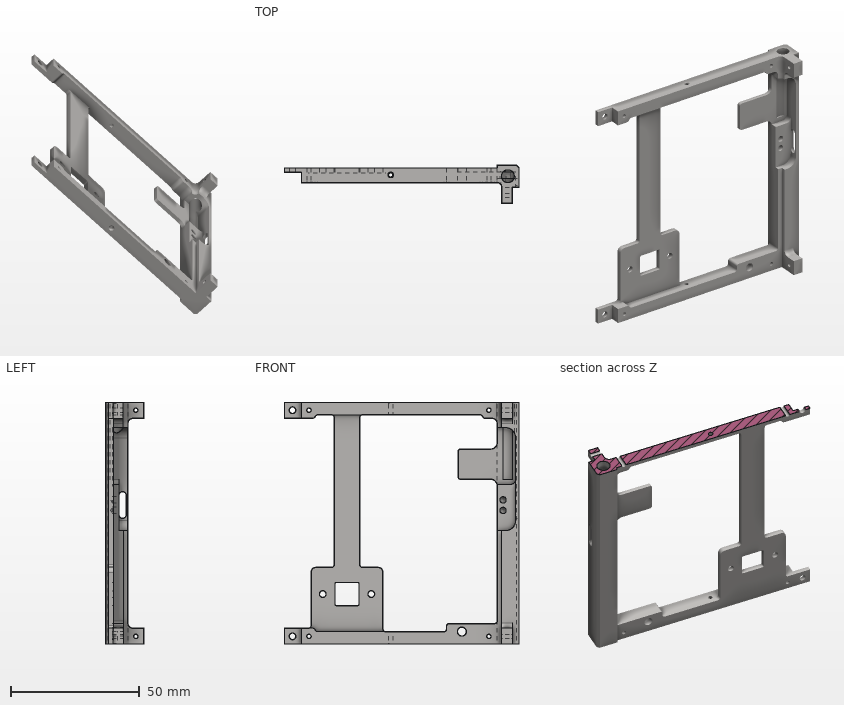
import cadquery as cq
import math


WIDTH = 91.4
HEIGHT = 94.0

RAIL_DEPTH = 5.85
TOP_RAIL_DEPTH = 5.7
RAIL_HEIGHT = 4.85
PAD_HEIGHT = 6.2
TAB_LENGTH = 6.6
TAB_THICKNESS = 1.75
RAMP_LENGTH = 2.0
LEFT_RAMP_X = 11.0
RIGHT_RAMP_X = 76.2
STEP_X = 63.1
STEP_HEIGHT = 8.0
STEP_RADIUS = 1.0
CORNER_RADIUS = 2.0

COLUMN_X = 82.8
COLUMN_BACK = 1.05
COLUMN_FRONT = -7.65
COLUMN_CHAMFER = 1.0
LEDGE_X = 84.6
LUG_WIDTH = 4.1
LUG_FRONT = -13.85
LUG_FILLET = 2.0

POCKET_TOP = 84.25
POCKET_STEP = 62.1
POCKET_BOTTOM = 44.1
POCKET_RIGHT = 90.0
DEEP_FLOOR = -1.55
SHALLOW_FLOOR = -4.2
POCKET_RADIUS = 4.0
POCKET_STEP_RADIUS = 2.0
PADDLE_X = 67.6
PADDLE_BOTTOM = 64.1
PADDLE_TOP = 75.9
PADDLE_CORNER_RADIUS = 1.0
PADDLE_ROOT_RADIUS = 2.5
SLOT_LENGTH = 10.3
SLOT_WIDTH = 2.75
SLOT_CENTER_Z = 54.1

PLATE_THICKNESS = 2.1
PLATE_CENTER_X = 24.4
PLATE_WIDTH = 28.0
PLATE_TOP = 29.9
PLATE_CORNER_RADIUS = 2.0
STRIP_WIDTH = 10.0
STRIP_FILLET = 1.0
PLATE_FOOT_FILLET = 1.0
WINDOW_WIDTH = 9.3
WINDOW_HEIGHT = 8.9
WINDOW_CENTER_Z = 19.45
WINDOW_RADIUS = 0.5

END_HOLE_INSET = 3.0
TAB_HOLE_X = 3.2
TAB_HOLE_DIAMETER = 2.5
SCREW_HOLE_X = (9.6, 79.6)
SCREW_HOLE_DIAMETER = 1.6
LUG_HOLE_Y = -10.7
PLATE_HOLE_SPACING = 18.9
PLATE_HOLE_DIAMETER = 2.5
RAIL_HOLE_X = 69.1
RAIL_HOLE_DIAMETER = 3.4
CROSS_HOLE_X = 41.4
CROSS_HOLE_Y = -2.75
CROSS_HOLE_DIAMETER = 1.6
CROSS_HOLE_CHAMFER = 0.3
SHAFT_HOLE_X = 87.0
SHAFT_HOLE_Y = -3.25
SHAFT_HOLE_DIAMETER = 5.0
BLIND_HOLE_X = 85.1
BLIND_HOLE_Z = (52.0, 56.1)
BLIND_HOLE_DIAMETER = 2.5
BLIND_HOLE_DEPTH = 2.5
BLIND_HOLE_TIP = 0.75

THROUGH = 40.0
OVERLAP = 0.5


def box(x0, x1, y0, y1, z0, z1):
    """Box between two limits on each axis."""
    return cq.Workplane("XY").box(x1 - x0, y1 - y0, z1 - z0, centered=False).translate((x0, y0, z0))


def hole_along_y(x, z, diameter):
    """Cylinder through the whole depth of the part."""
    plane = cq.Workplane("XZ", origin=(x, THROUGH / 2, z))
    return plane.circle(diameter / 2).extrude(THROUGH)


def fillet_at(body, edge_direction, points, radius):
    """Round the edges in one direction that have their midpoints nearest to the given points."""
    for point in points:
        edge = body.edges(edge_direction).edges(cq.selectors.NearestToPointSelector(point))
        body = edge.fillet(radius)
    return body


def inside_blend(plane, corner, directions, radius):
    """Closed outline that fills an inside corner with a concave quarter arc."""
    u, v = corner
    u_end = u + directions[0] * radius
    v_end = v + directions[1] * radius
    inset = radius * (1 - math.sqrt(0.5))
    arc_middle = (u + directions[0] * inset, v + directions[1] * inset)
    return plane.moveTo(u, v).lineTo(u_end, v).threePointArc(arc_middle, (u, v_end)).close()


def build_frame_profile():
    """Tabs, rails and column as one block, before the opening is cut."""
    outline = (
        cq.Workplane("XY")
        .polyline([
            (0, 0),
            (COLUMN_X, 0),
            (COLUMN_X, COLUMN_BACK),
            (WIDTH, COLUMN_BACK),
            (WIDTH, COLUMN_FRONT),
            (LEDGE_X, COLUMN_FRONT),
            (LEDGE_X, -RAIL_DEPTH),
            (TAB_LENGTH, -RAIL_DEPTH),
            (TAB_LENGTH, -TAB_THICKNESS),
            (0, -TAB_THICKNESS),
        ])
        .close()
    )
    block = outline.extrude(HEIGHT)
    back_corner = block.edges("|Z").edges(">X and >Y")
    return back_corner.chamfer(COLUMN_CHAMFER)


def add_lugs(body):
    """Lugs at both column ends, blended into the column front."""
    for bottom, inner in ((0, PAD_HEIGHT), (HEIGHT - PAD_HEIGHT, HEIGHT - PAD_HEIGHT)):
        lug = box(
            LEDGE_X, LEDGE_X + LUG_WIDTH,
            LUG_FRONT, COLUMN_FRONT + OVERLAP,
            bottom, bottom + PAD_HEIGHT,
        )
        body = body.union(lug)
        root = (LEDGE_X + LUG_WIDTH / 2, COLUMN_FRONT, inner)
        body = fillet_at(body, "|X", [root], LUG_FILLET)
    return body


def thin_top_rail(body):
    """Set the front of the top rail back, up to the side of the lug."""
    excess = box(0, LEDGE_X, -RAIL_DEPTH, -TOP_RAIL_DEPTH, POCKET_TOP, HEIGHT)
    return body.cut(excess)


def add_upper_ledge_fillet(body):
    """Concave blend between the top rail front and the lug side, down to the pocket."""
    plane = cq.Workplane("XY", origin=(0, 0, POCKET_TOP))
    blend = inside_blend(plane, (LEDGE_X, -TOP_RAIL_DEPTH), (-1, -1), LUG_FILLET)
    return body.union(blend.extrude(HEIGHT - POCKET_TOP))


def build_opening():
    """Cutter for the space between the rails, open toward -X."""
    pad_top = HEIGHT - PAD_HEIGHT
    rail_top = HEIGHT - RAIL_HEIGHT
    left_ramp_end = LEFT_RAMP_X + RAMP_LENGTH
    right_ramp_end = RIGHT_RAMP_X + RAMP_LENGTH
    ramp_middle = (PAD_HEIGHT + RAIL_HEIGHT) / 2
    outline = (
        cq.Workplane("XZ", origin=(0, THROUGH / 2, 0))
        .moveTo(-OVERLAP, PAD_HEIGHT)
        .lineTo(LEFT_RAMP_X, PAD_HEIGHT)
        .tangentArcPoint((LEFT_RAMP_X + RAMP_LENGTH / 2, ramp_middle), relative=False)
        .tangentArcPoint((left_ramp_end, RAIL_HEIGHT), relative=False)
        .lineTo(STEP_X, RAIL_HEIGHT)
        .lineTo(STEP_X, STEP_HEIGHT)
        .lineTo(COLUMN_X, STEP_HEIGHT)
        .lineTo(COLUMN_X, pad_top)
        .lineTo(right_ramp_end, pad_top)
        .tangentArcPoint((right_ramp_end - RAMP_LENGTH / 2, HEIGHT - ramp_middle), relative=False)
        .tangentArcPoint((RIGHT_RAMP_X, rail_top), relative=False)
        .lineTo(left_ramp_end, rail_top)
        .tangentArcPoint((left_ramp_end - RAMP_LENGTH / 2, HEIGHT - ramp_middle), relative=False)
        .tangentArcPoint((LEFT_RAMP_X, pad_top), relative=False)
        .lineTo(-OVERLAP, pad_top)
        .close()
    )
    opening = outline.extrude(THROUGH)
    step_corners = [
        (STEP_X, 0, RAIL_HEIGHT),
        (STEP_X, 0, STEP_HEIGHT),
        (COLUMN_X, 0, STEP_HEIGHT),
    ]
    opening = fillet_at(opening, "|Y", step_corners, STEP_RADIUS)
    return fillet_at(opening, "|Y", [(COLUMN_X, 0, pad_top)], CORNER_RADIUS)


def build_pocket_level(floor, bottom, bottom_radius):
    """Cutter for one level of the column pocket, open toward -X and -Y."""
    level = box(COLUMN_X - OVERLAP, POCKET_RIGHT, COLUMN_FRONT - OVERLAP, floor, bottom, POCKET_TOP)
    middle_y = (COLUMN_FRONT + floor) / 2
    level = fillet_at(level, "|Y", [(POCKET_RIGHT, middle_y, POCKET_TOP)], POCKET_RADIUS)
    return fillet_at(level, "|Y", [(POCKET_RIGHT, middle_y, bottom)], bottom_radius)


def cut_pocket(body):
    """Two-level pocket in the column front with a slot through its side wall."""
    body = body.cut(build_pocket_level(DEEP_FLOOR, POCKET_STEP, POCKET_STEP_RADIUS))
    body = body.cut(build_pocket_level(SHALLOW_FLOOR, POCKET_BOTTOM, POCKET_RADIUS))
    slot = (
        cq.Workplane("YZ", origin=(COLUMN_X, SHALLOW_FLOOR - SLOT_WIDTH / 2, SLOT_CENTER_Z))
        .slot2D(SLOT_LENGTH, SLOT_WIDTH, 90)
        .extrude(THROUGH)
    )
    return body.cut(slot)


def add_paddle(body):
    """Thin plate reaching from the pocket floor into the opening."""
    paddle = box(PADDLE_X, COLUMN_X + OVERLAP, DEEP_FLOOR, 0, PADDLE_BOTTOM, PADDLE_TOP)
    tip_corners = [(PADDLE_X, DEEP_FLOOR / 2, z) for z in (PADDLE_BOTTOM, PADDLE_TOP)]
    body = body.union(fillet_at(paddle, "|Y", tip_corners, PADDLE_CORNER_RADIUS))
    for z, direction in ((PADDLE_BOTTOM, -1), (PADDLE_TOP, 1)):
        blend = inside_blend(cq.Workplane("XZ"), (COLUMN_X, z), (-1, direction), PADDLE_ROOT_RADIUS)
        body = body.union(blend.extrude(-DEEP_FLOOR))
    return body


def add_strip_and_plate(body):
    """Vertical strip joining the rails, widening into the sensor plate at the bottom."""
    plate_left = PLATE_CENTER_X - PLATE_WIDTH / 2
    plate_right = PLATE_CENTER_X + PLATE_WIDTH / 2
    rail_top = HEIGHT - RAIL_HEIGHT
    plate = box(plate_left, plate_right, -PLATE_THICKNESS, 0, OVERLAP, PLATE_TOP)
    top_corners = [(x, -PLATE_THICKNESS / 2, PLATE_TOP) for x in (plate_left, plate_right)]
    plate = fillet_at(plate, "|Y", top_corners, PLATE_CORNER_RADIUS)
    strip_left = PLATE_CENTER_X - STRIP_WIDTH / 2
    strip_right = PLATE_CENTER_X + STRIP_WIDTH / 2
    strip = box(strip_left, strip_right, -PLATE_THICKNESS, 0, PLATE_TOP - OVERLAP, rail_top + OVERLAP)
    body = body.union(plate).union(strip)

    blends = [
        ((plate_left, PAD_HEIGHT), (-1, 1), PLATE_FOOT_FILLET),
        ((plate_right, RAIL_HEIGHT), (1, 1), PLATE_FOOT_FILLET),
    ]
    for x, direction in ((strip_left, -1), (strip_right, 1)):
        blends.append(((x, PLATE_TOP), (direction, 1), STRIP_FILLET))
        blends.append(((x, rail_top), (direction, -1), STRIP_FILLET))
    for corner, directions, radius in blends:
        blend = inside_blend(cq.Workplane("XZ"), corner, directions, radius)
        body = body.union(blend.extrude(PLATE_THICKNESS))

    window = (
        cq.Workplane("XZ", origin=(PLATE_CENTER_X, THROUGH / 2, WINDOW_CENTER_Z))
        .rect(WINDOW_WIDTH, WINDOW_HEIGHT)
        .extrude(THROUGH)
        .edges("|Y")
        .fillet(WINDOW_RADIUS)
    )
    body = body.cut(window)
    for side in (-1, 1):
        x = PLATE_CENTER_X + side * PLATE_HOLE_SPACING / 2
        body = body.cut(hole_along_y(x, WINDOW_CENTER_Z, PLATE_HOLE_DIAMETER))
    return body


def cut_rail_and_lug_holes(body):
    """Mounting holes in the tabs, rails and lugs."""
    for z in (END_HOLE_INSET, HEIGHT - END_HOLE_INSET):
        body = body.cut(hole_along_y(TAB_HOLE_X, z, TAB_HOLE_DIAMETER))
        for x in SCREW_HOLE_X:
            body = body.cut(hole_along_y(x, z, SCREW_HOLE_DIAMETER))
        lug_plane = cq.Workplane("YZ", origin=(COLUMN_X, LUG_HOLE_Y, z))
        body = body.cut(lug_plane.circle(SCREW_HOLE_DIAMETER / 2).extrude(WIDTH - COLUMN_X))
    return body.cut(hole_along_y(RAIL_HOLE_X, RAIL_HEIGHT, RAIL_HOLE_DIAMETER))


def cut_cross_holes(body):
    """Vertical hole through both rails, countersunk on their outer faces."""
    cross_plane = cq.Workplane("XY", origin=(CROSS_HOLE_X, CROSS_HOLE_Y, 0))
    cross_hole = cross_plane.circle(CROSS_HOLE_DIAMETER / 2).extrude(HEIGHT)
    body = body.cut(cross_hole)
    countersink = cq.Solid.makeCone(
        CROSS_HOLE_DIAMETER / 2, CROSS_HOLE_DIAMETER / 2 + CROSS_HOLE_CHAMFER, CROSS_HOLE_CHAMFER
    )
    upper = cq.Workplane(countersink).translate((CROSS_HOLE_X, CROSS_HOLE_Y, HEIGHT - CROSS_HOLE_CHAMFER))
    lower = upper.mirror("XY", (0, 0, HEIGHT / 2))
    return body.cut(upper).cut(lower)


def cut_shaft_hole(body):
    """Vertical bore from the column top, leaving a groove in the deep pocket floor."""
    plane = cq.Workplane("XY", origin=(SHAFT_HOLE_X, SHAFT_HOLE_Y, PADDLE_BOTTOM))
    return body.cut(plane.circle(SHAFT_HOLE_DIAMETER / 2).extrude(HEIGHT - PADDLE_BOTTOM))


def cut_blind_holes(body):
    """Drilled holes with conical bottoms in the shallow pocket floor."""
    bottom = SHALLOW_FLOOR + BLIND_HOLE_DEPTH
    profile = [
        (0, SHALLOW_FLOOR),
        (BLIND_HOLE_DIAMETER / 2, SHALLOW_FLOOR),
        (BLIND_HOLE_DIAMETER / 2, bottom),
        (0, bottom + BLIND_HOLE_TIP),
    ]
    drill = cq.Workplane("XY").polyline(profile).close().revolve(360, (0, 0, 0), (0, 1, 0))
    for z in BLIND_HOLE_Z:
        body = body.cut(drill.translate((BLIND_HOLE_X, 0, z)))
    return body


part = build_frame_profile()
part = add_lugs(part)
part = thin_top_rail(part)
part = add_upper_ledge_fillet(part)
part = part.cut(build_opening())
part = cut_pocket(part)
part = add_paddle(part)
part = add_strip_and_plate(part)
part = cut_rail_and_lug_holes(part)
part = cut_cross_holes(part)
part = cut_shaft_hole(part)
result = cut_blind_holes(part)